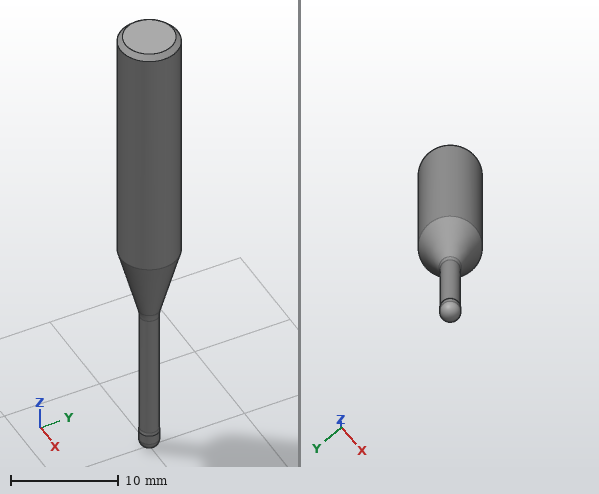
import cadquery as cq
import math

total_length = 50.0
shank_diameter = 6.0
shank_chamfer = 0.5
cutter_diameter = 2.0
cutter_length = 2.0
neck_diameter = 1.9
relief_top = 2.35
neck_top = 16.0
blend_radius = 3.0
taper_half_angle = math.radians(15)

shank_radius = shank_diameter / 2
cutter_radius = cutter_diameter / 2
neck_radius = neck_diameter / 2


def blend_point(angle):
    """Radius and height on the neck blend, at an angle turned from the neck."""
    radius = neck_radius + blend_radius * (1 - math.cos(angle))
    height = neck_top + blend_radius * math.sin(angle)
    return radius, height


def revolve_about_z(profile):
    """Turn a closed radius-height profile a full circle about Z."""
    return profile.close().revolve(360, (0, 0, 0), (0, 1, 0))


def make_cutter():
    """Hemispherical tip with a short cylindrical cutting length."""
    diagonal = cutter_radius * math.sqrt(0.5)
    profile = (
        cq.Workplane("XZ")
        .moveTo(0, 0)
        .threePointArc((diagonal, cutter_radius - diagonal), (cutter_radius, cutter_radius))
        .lineTo(cutter_radius, cutter_length)
        .lineTo(0, cutter_length)
    )
    return revolve_about_z(profile)


def make_holder():
    """Relief cone, neck, blend, taper and chamfered shank."""
    blend_end = blend_point(taper_half_angle)
    taper_top = blend_end[1] + (shank_radius - blend_end[0]) / math.tan(taper_half_angle)
    profile = (
        cq.Workplane("XZ")
        .moveTo(0, cutter_length)
        .lineTo(cutter_radius, cutter_length)
        .lineTo(neck_radius, relief_top)
        .lineTo(neck_radius, neck_top)
        .threePointArc(blend_point(taper_half_angle / 2), blend_end)
        .lineTo(shank_radius, taper_top)
        .lineTo(shank_radius, total_length - shank_chamfer)
        .lineTo(shank_radius - shank_chamfer, total_length)
        .lineTo(0, total_length)
    )
    return revolve_about_z(profile)


cutter = make_cutter()
holder = make_holder()

result = cq.Compound.makeCompound([cutter.val(), holder.val()])